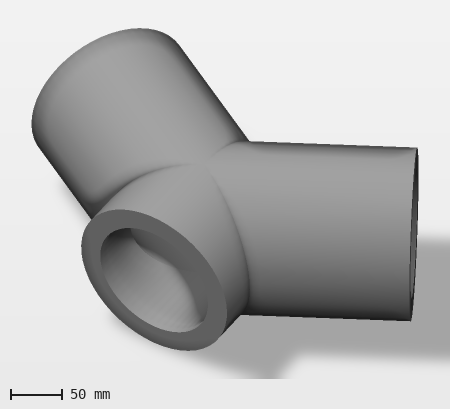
import cadquery as cq
import math

overall_width = 436.0
overall_depth = 263.5
outer_diameter = 168.5
bore_diameter = 124.5
arm_angle = 30.0
half_sector_angle = 60.0

outer_radius = outer_diameter / 2
arm_cos = math.cos(math.radians(arm_angle))
arm_sin = math.sin(math.radians(arm_angle))

arm_length = (overall_width / 2 - outer_radius * arm_sin) / arm_cos
arm_reach_y = arm_length * arm_sin + outer_radius * arm_cos
leg_length = overall_depth - arm_reach_y

branches = [
    (cq.Vector(arm_cos, arm_sin, 0), arm_length),
    (cq.Vector(-arm_cos, arm_sin, 0), arm_length),
    (cq.Vector(0, -1, 0), leg_length),
]


def mitred_branch(diameter, direction, length):
    """Round bar from the junction, trimmed to its own 120 degree sector."""
    overlap = diameter
    bar = cq.Workplane(
        cq.Solid.makeCylinder(diameter / 2, length + overlap, direction * -overlap, direction)
    )
    sector_depth = 2 * overall_width
    half_width = sector_depth * math.tan(math.radians(half_sector_angle))
    side = cq.Vector(-direction.y, direction.x, 0) * half_width
    far_middle = direction * sector_depth
    left = far_middle + side
    right = far_middle - side
    sector = (
        cq.Workplane("XY")
        .polyline([(0, 0), (right.x, right.y), (left.x, left.y)])
        .close()
        .extrude(diameter, both=True)
    )
    return bar.intersect(sector)


def three_way(diameter):
    """Join the three mitred branches of one diameter."""
    joined = cq.Workplane("XY")
    for direction, length in branches:
        joined = joined.add(mitred_branch(diameter, direction, length))
    return joined.combine()


result = three_way(outer_diameter).cut(three_way(bore_diameter))